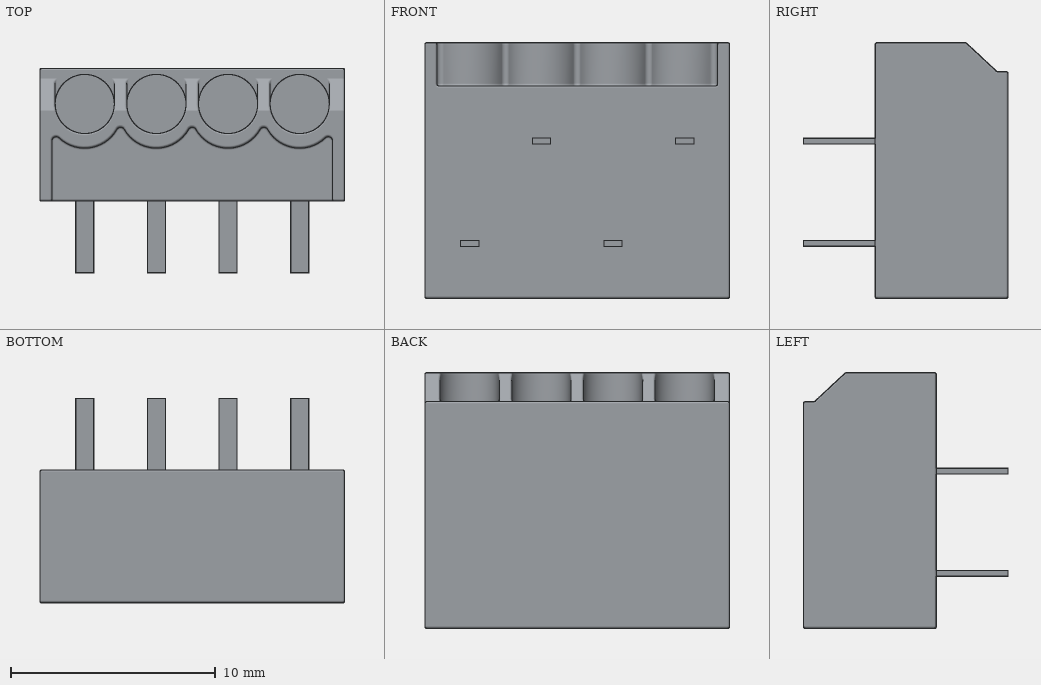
import cadquery as cq

WIDTH = 14.9
DEPTH = 6.5
HEIGHT = 12.5
EDGE_RADIUS = 0.1

LEDGE_DEPTH = 0.54
LEDGE_DROP = 1.42
SLOPE_RUN = 1.52
LEDGE_Z = HEIGHT - LEDGE_DROP

POLE_COUNT = 4
PITCH = 3.5
POLE_XS = [(i - (POLE_COUNT - 1) / 2) * PITCH for i in range(POLE_COUNT)]
WELL_RADIUS = 1.45
WELL_Y = DEPTH - 1.75

POCKET_DEPTH = 2.12
POCKET_FLOOR_Z = HEIGHT - POCKET_DEPTH
POCKET_SIDE_WALL = 0.6
POCKET_WIDTH = WIDTH - 2 * POCKET_SIDE_WALL
SCALLOP_RADIUS = 1.8
SCALLOP_Y = DEPTH - 2.1
POCKET_CORNER_RADIUS = 0.21

PIN_WIDTH = 0.9
PIN_THICKNESS = 0.3
PIN_LENGTH = 3.5
LOWER_PIN_Z = 2.7
PIN_ROW_SPACING = 4.99

PIN_OVERLAP = 0.15

TINY = 0.001


def box(x_range, y_range, z_range):
    """Axis-aligned box spanning the given (low, high) ranges."""
    sizes = [high - low for low, high in (x_range, y_range, z_range)]
    lows = (x_range[0], y_range[0], z_range[0])
    return cq.Workplane("XY").box(*sizes, centered=False).translate(lows)


def cylinder(x, y, radius):
    """Upright cylinder from the pocket floor level to the top of the block."""
    return cq.Workplane("XY", origin=(x, y, POCKET_FLOOR_Z)).circle(radius).extrude(POCKET_DEPTH)


def make_block():
    """Housing block, its slope interrupted by a notch behind each well."""
    slope_bottom_y = DEPTH - LEDGE_DEPTH
    profile = [
        (0, 0),
        (DEPTH, 0),
        (DEPTH, LEDGE_Z),
        (slope_bottom_y, LEDGE_Z),
        (slope_bottom_y - SLOPE_RUN, HEIGHT),
        (0, HEIGHT),
    ]
    block = cq.Workplane("YZ").polyline(profile).close().extrude(WIDTH / 2, both=True)
    for pole_x in POLE_XS:
        notch_sides = (pole_x - WELL_RADIUS, pole_x + WELL_RADIUS)
        block = block.cut(box(notch_sides, (WELL_Y, DEPTH), (LEDGE_Z, HEIGHT)))
    return block


def inside_ledge_zone(top_z):
    """Selects what lies around the feet of the sloped ribs, up to height top_z."""
    side_x = WIDTH / 2 - TINY
    return cq.selectors.BoxSelector(
        (-side_x, WELL_Y + TINY, LEDGE_Z - TINY),
        (side_x, DEPTH - TINY, top_z),
    )


def make_pocket():
    """Cutter for the front pocket, its back wall bulging forward around each well."""
    pocket = box((-POCKET_WIDTH / 2, POCKET_WIDTH / 2), (0, SCALLOP_Y), (POCKET_FLOOR_Z, HEIGHT))
    for pole_x in POLE_XS:
        pocket = pocket.cut(cylinder(pole_x, SCALLOP_Y, SCALLOP_RADIUS))
    inner_edges = cq.selectors.BoxSelector((-WIDTH, TINY, 0), (WIDTH, DEPTH, HEIGHT))
    pocket = pocket.edges("|Z").edges(inner_edges).fillet(POCKET_CORNER_RADIUS)
    return pocket.edges("<Z").edges(inner_edges).fillet(EDGE_RADIUS)


def round_rims(block):
    """Round the outer edges of the block and the rims of the wells and the pocket."""
    flat_sides = cq.selectors.StringSyntaxSelector("<X or >X or <Y or >Y or <Z or >Z")
    slope = cq.selectors.ParallelDirSelector(cq.Vector(0, LEDGE_DROP, SLOPE_RUN))
    rib_feet = inside_ledge_zone(LEDGE_Z + 2 * EDGE_RADIUS)
    return block.faces(flat_sides + slope).edges(-rib_feet).fillet(EDGE_RADIUS)


def make_pin(pole_x, pin_z):
    """Flat contact pin reaching forward from the front face."""
    return box(
        (pole_x - PIN_WIDTH / 2, pole_x + PIN_WIDTH / 2),
        (-PIN_LENGTH, PIN_OVERLAP),
        (pin_z - PIN_THICKNESS / 2, pin_z + PIN_THICKNESS / 2),
    )


body = make_block()
body = body.edges(inside_ledge_zone(LEDGE_Z + TINY)).fillet(EDGE_RADIUS)
for pole_x in POLE_XS:
    body = body.cut(cylinder(pole_x, WELL_Y, WELL_RADIUS))
body = body.cut(make_pocket())
result = round_rims(body)

for index, pole_x in enumerate(POLE_XS):
    in_upper_row = index % 2
    result = result.union(make_pin(pole_x, LOWER_PIN_Z + in_upper_row * PIN_ROW_SPACING))